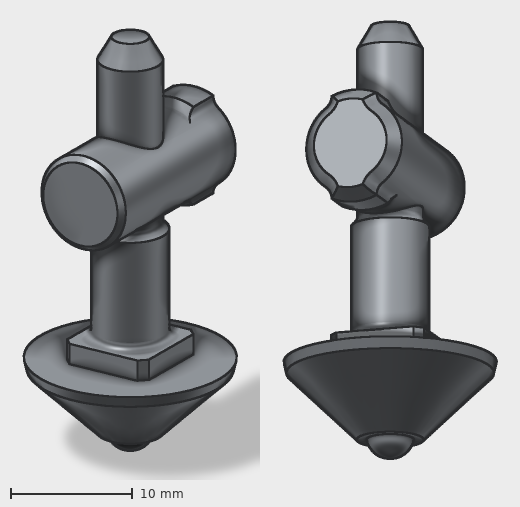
import cadquery as cq
import math


TOTAL_HEIGHT = 36.63

STEM_RADIUS = 2.72
STEM_TOP_Z = 12.35
STEM_POINT_HEIGHT = 2.0
STEM_POINT_SLOPE = math.radians(30)
STEM_POINT_RADIUS = STEM_RADIUS - STEM_POINT_HEIGHT * math.tan(STEM_POINT_SLOPE)
SHANK_RADIUS = 3.22
SHANK_TOP_Z = -4.65
FILLET_RADIUS = 0.75

COLLAR_TOP_Z = -14.3
COLLAR_WIDTH = 8.05
COLLAR_CHAMFER = 0.7

HEAD_TOP_Z = -16.1
HEAD_RADIUS = 8.77
RIM_HEIGHT = 0.95
RIM_LOWER_RADIUS = 8.55
HEAD_BOTTOM_Z = -22.7
HEAD_BOTTOM_RADIUS = 2.75
HEAD_BEVEL = 0.22

BALL_RADIUS = 2.0
BALL_BOTTOM_Z = STEM_TOP_Z - TOTAL_HEIGHT
BALL_CENTER_Z = BALL_BOTTOM_Z + BALL_RADIUS

BARREL_RADIUS = 4.15
BARREL_FRONT_Y = -7.5
BARREL_BACK_Y = 10.5
FRONT_CHAMFER = 0.5
BACK_CHAMFER = 1.0
BACK_CHAMFER_ANGLE = 45

KEY_RADIUS = 4.75
KEY_HALF_WIDTH = 1.95
KEY_RAMP_START_Y = 6.5
RAMP_ANGLE = math.radians(30)
RAMP_FILLET = 0.6


def bolt_shaft():
    """Round stem, filleted neck and shank down to the collar."""
    neck_dr = FILLET_RADIUS * (1 - math.cos(math.pi / 4))
    neck_dz = FILLET_RADIUS * math.sin(math.pi / 4)
    neck_radius = STEM_RADIUS + neck_dr
    neck_bottom_z = SHANK_TOP_Z + SHANK_RADIUS - neck_radius
    neck_top_z = neck_bottom_z + neck_dz
    half_angle = math.pi / 8
    neck_mid = (
        STEM_RADIUS + FILLET_RADIUS * (1 - math.cos(half_angle)),
        neck_top_z - FILLET_RADIUS * math.sin(half_angle),
    )
    foot_radius = SHANK_RADIUS + FILLET_RADIUS
    foot_top_z = COLLAR_TOP_Z + FILLET_RADIUS
    foot_mid = (
        foot_radius - FILLET_RADIUS * math.cos(math.pi / 4),
        foot_top_z - FILLET_RADIUS * math.sin(math.pi / 4),
    )
    return (
        cq.Workplane("XZ")
        .moveTo(0, STEM_TOP_Z)
        .lineTo(STEM_POINT_RADIUS, STEM_TOP_Z)
        .lineTo(STEM_RADIUS, STEM_TOP_Z - STEM_POINT_HEIGHT)
        .lineTo(STEM_RADIUS, neck_top_z)
        .threePointArc(neck_mid, (neck_radius, neck_bottom_z))
        .lineTo(SHANK_RADIUS, SHANK_TOP_Z)
        .lineTo(SHANK_RADIUS, foot_top_z)
        .threePointArc(foot_mid, (foot_radius, COLLAR_TOP_Z))
        .lineTo(0, COLLAR_TOP_Z)
        .close()
        .revolve(360, (0, 0, 0), (0, 1, 0))
    )


def bolt_collar():
    """Square collar with chamfered corners."""
    return (
        cq.Workplane("XY", origin=(0, 0, HEAD_TOP_Z))
        .rect(COLLAR_WIDTH, COLLAR_WIDTH)
        .extrude(COLLAR_TOP_Z - HEAD_TOP_Z)
        .edges("|Z")
        .chamfer(COLLAR_CHAMFER)
    )


def bolt_head():
    """Cone with a slightly tapered rim and a small bevel at its lower end."""
    return (
        cq.Workplane("XZ")
        .moveTo(0, HEAD_TOP_Z)
        .lineTo(HEAD_RADIUS, HEAD_TOP_Z)
        .lineTo(RIM_LOWER_RADIUS, HEAD_TOP_Z - RIM_HEIGHT)
        .lineTo(HEAD_BOTTOM_RADIUS + HEAD_BEVEL, HEAD_BOTTOM_Z + HEAD_BEVEL)
        .lineTo(HEAD_BOTTOM_RADIUS, HEAD_BOTTOM_Z)
        .lineTo(0, HEAD_BOTTOM_Z)
        .close()
        .revolve(360, (0, 0, 0), (0, 1, 0))
    )


def make_ball():
    return cq.Workplane("XY", origin=(0, 0, BALL_CENTER_Z)).sphere(BALL_RADIUS)


def keyed_section():
    """Barrel section with two keys, whose hollow flanks run tangent into the round."""
    key_edge_z = math.sqrt(KEY_RADIUS**2 - KEY_HALF_WIDTH**2)
    flank_radius = (KEY_RADIUS**2 - BARREL_RADIUS**2) / (2 * (BARREL_RADIUS - KEY_HALF_WIDTH))
    center_x = KEY_HALF_WIDTH + flank_radius
    center_z = key_edge_z
    touch_ratio = BARREL_RADIUS / (BARREL_RADIUS + flank_radius)
    touch_x = center_x * touch_ratio
    touch_z = center_z * touch_ratio
    mid_angle = math.pi + math.atan2(center_z, center_x) / 2
    mid_x = center_x + flank_radius * math.cos(mid_angle)
    mid_z = center_z + flank_radius * math.sin(mid_angle)
    return (
        cq.Workplane("XZ", origin=(0, BARREL_BACK_Y - BACK_CHAMFER, 0))
        .moveTo(-KEY_HALF_WIDTH, key_edge_z)
        .threePointArc((0, KEY_RADIUS), (KEY_HALF_WIDTH, key_edge_z))
        .threePointArc((mid_x, mid_z), (touch_x, touch_z))
        .threePointArc((BARREL_RADIUS, 0), (touch_x, -touch_z))
        .threePointArc((mid_x, -mid_z), (KEY_HALF_WIDTH, -key_edge_z))
        .threePointArc((0, -KEY_RADIUS), (-KEY_HALF_WIDTH, -key_edge_z))
        .threePointArc((-mid_x, -mid_z), (-touch_x, -touch_z))
        .threePointArc((-BARREL_RADIUS, 0), (-touch_x, touch_z))
        .threePointArc((-mid_x, mid_z), (-KEY_HALF_WIDTH, key_edge_z))
        .close()
    )


def barrel_envelope():
    """Turned outline: front chamfer, plain length, then the filleted ramp up to the keys."""
    key_height = KEY_RADIUS - BARREL_RADIUS
    ramp_foot_y = KEY_RAMP_START_Y - key_height / math.tan(RAMP_ANGLE)
    tangent_length = RAMP_FILLET * math.tan(RAMP_ANGLE / 2)
    fillet_start_y = ramp_foot_y - tangent_length
    fillet_mid = (
        BARREL_RADIUS + RAMP_FILLET * (1 - math.cos(RAMP_ANGLE / 2)),
        fillet_start_y + RAMP_FILLET * math.sin(RAMP_ANGLE / 2),
    )
    fillet_end = (
        BARREL_RADIUS + tangent_length * math.sin(RAMP_ANGLE),
        ramp_foot_y + tangent_length * math.cos(RAMP_ANGLE),
    )
    return (
        cq.Workplane("XY")
        .moveTo(0, BARREL_FRONT_Y)
        .lineTo(BARREL_RADIUS - FRONT_CHAMFER, BARREL_FRONT_Y)
        .lineTo(BARREL_RADIUS, BARREL_FRONT_Y + FRONT_CHAMFER)
        .lineTo(BARREL_RADIUS, fillet_start_y)
        .threePointArc(fillet_mid, fillet_end)
        .lineTo(KEY_RADIUS, KEY_RAMP_START_Y)
        .lineTo(KEY_RADIUS, BARREL_BACK_Y)
        .lineTo(0, BARREL_BACK_Y)
        .close()
        .revolve(360, (0, 0, 0), (0, 1, 0))
    )


def make_barrel(bolt):
    """Cross barrel with its keys, bored to the outline of the bolt."""
    straight_length = BARREL_BACK_Y - BACK_CHAMFER - BARREL_FRONT_Y
    straight = keyed_section().extrude(straight_length).intersect(barrel_envelope())
    back_end = keyed_section().extrude(-BACK_CHAMFER, taper=BACK_CHAMFER_ANGLE)
    return straight.union(back_end).cut(bolt)


ball = make_ball()
bolt = bolt_shaft().union(bolt_collar()).union(bolt_head()).cut(ball)
barrel = make_barrel(bolt)

result = cq.Compound.makeCompound([barrel.val(), bolt.val(), ball.val()])